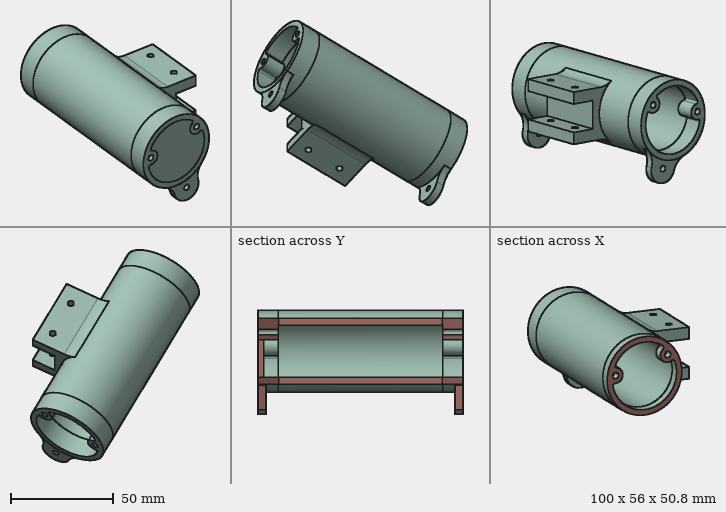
import cadquery as cq
import math


total_length = 100.0
ring_length = 10.0
outer_radius = 20.0
inner_radius = 17.0
half_length = total_length / 2
tube_length = total_length - 2 * ring_length

screw_radius = 1.5
boss_radius = 4.0
boss_distance = 15.5
boss_blend = 1.0
ear_angle = -75.0
boss_spread = 68.0
boss_angles = (ear_angle + 180 - boss_spread, ear_angle + 180 + boss_spread)

closing_plate_thickness = 3.0

ear_thickness = 4.0
ear_radius = 7.3
ear_distance = 24.3

outer_blend = 10.0

bracket_width = 35.3
bracket_end = 36.0
bracket_top = 13.3
flange_thickness = 6.0
flange_gap = 14.2
slot_depth = 12.0
bracket_bottom = bracket_top - 2 * flange_thickness - flange_gap
bracket_hole_spacing = 18.9
bracket_hole_offset = -0.5
bracket_hole_inset = 7.0


def polar(distance, angle):
    """Point at a distance and angle in degrees from the tube axis."""
    return (distance * math.cos(math.radians(angle)), distance * math.sin(math.radians(angle)))


def toward(start, end, distance):
    """Point at a distance from start along the line to end."""
    scale = distance / math.dist(start, end)
    return tuple(a + (b - a) * scale for a, b in zip(start, end))


def cylinder(x_start, length, radius, center=(0, 0)):
    """Solid cylinder along X."""
    return cq.Workplane("YZ", origin=(x_start, 0, 0)).center(*center).circle(radius).extrude(length)


def ring_opening(x_start, length):
    """The round opening of an end ring, less the two bosses."""
    opening = cylinder(x_start, length, inner_radius)
    for angle in boss_angles:
        opening = opening.cut(cylinder(x_start, length, boss_radius, polar(boss_distance, angle)))
    return opening.edges("|X").fillet(boss_blend)


def make_tube():
    outside = cylinder(-tube_length / 2, tube_length, outer_radius)
    return outside.cut(cylinder(-tube_length / 2, tube_length, inner_radius))


def make_end_ring(x_start):
    ring = cylinder(x_start, ring_length, outer_radius).cut(ring_opening(x_start, ring_length))
    for angle in boss_angles:
        ring = ring.cut(cylinder(x_start, ring_length, screw_radius, polar(boss_distance, angle)))
    return ring


def make_ear(x_start):
    """Rounded ear whose concave sides are tangent to the ring and to its tip."""
    ear_center = polar(ear_distance, ear_angle)
    blend_reach = outer_radius + outer_blend
    tip_reach = ear_radius + outer_blend
    cosine = (blend_reach**2 + ear_distance**2 - tip_reach**2) / (2 * blend_reach * ear_distance)
    blend_angle = math.degrees(math.acos(cosine))

    def side_points(angle):
        """Ring tangent point, middle of the blend arc and tip tangent point."""
        blend_center = polar(blend_reach, angle)
        ring_point = polar(outer_radius, angle)
        tip_point = toward(ear_center, blend_center, ear_radius)
        chord_middle = tuple((a + b) / 2 for a, b in zip(ring_point, tip_point))
        return ring_point, toward(blend_center, chord_middle, outer_blend), tip_point

    left_ring, left_middle, left_tip = side_points(ear_angle - blend_angle)
    right_ring, right_middle, right_tip = side_points(ear_angle + blend_angle)
    ear = (
        cq.Workplane("YZ", origin=(x_start, 0, 0))
        .moveTo(*left_ring)
        .threePointArc(left_middle, left_tip)
        .threePointArc(polar(ear_distance + ear_radius, ear_angle), right_tip)
        .threePointArc(right_middle, right_ring)
        .threePointArc(polar(outer_radius, ear_angle), left_ring)
        .close()
        .extrude(ear_thickness)
    )
    return ear.cut(cylinder(x_start, ear_thickness, screw_radius, ear_center))


def make_bracket():
    """Two flanges joined by a web that wraps the tube, with concave blends."""

    def blend_points(flange_z):
        """Flange tangent point, middle of the blend arc and tube tangent point."""
        side = math.copysign(1, flange_z)
        center_z = flange_z + side * outer_blend
        center_y = math.sqrt((outer_radius + outer_blend) ** 2 - center_z**2)
        center = (center_y, center_z)
        flange_point = (center_y, flange_z)
        tube_point = toward((0, 0), center, outer_radius)
        chord_middle = tuple((a + b) / 2 for a, b in zip(flange_point, tube_point))
        return flange_point, toward(center, chord_middle, outer_blend), tube_point

    top_flange, top_middle, top_tube = blend_points(bracket_top)
    bottom_flange, bottom_middle, bottom_tube = blend_points(bracket_bottom)
    slot_floor = bracket_end - slot_depth
    slot_top = bracket_top - flange_thickness
    slot_bottom = bracket_bottom + flange_thickness
    bracket = (
        cq.Workplane("YZ", origin=(-bracket_width / 2, 0, 0))
        .moveTo(*top_tube)
        .threePointArc(top_middle, top_flange)
        .lineTo(bracket_end, bracket_top)
        .lineTo(bracket_end, slot_top)
        .lineTo(slot_floor, slot_top)
        .lineTo(slot_floor, slot_bottom)
        .lineTo(bracket_end, slot_bottom)
        .lineTo(bracket_end, bracket_bottom)
        .lineTo(*bottom_flange)
        .threePointArc(bottom_middle, bottom_tube)
        .threePointArc((outer_radius, 0), top_tube)
        .close()
        .extrude(bracket_width)
    )
    holes = (
        cq.Workplane("XY", origin=(bracket_hole_offset, bracket_end - bracket_hole_inset, bracket_bottom))
        .rarray(bracket_hole_spacing, 1, 2, 1)
        .circle(screw_radius)
        .extrude(bracket_top - bracket_bottom)
    )
    return bracket.cut(holes)


tube = make_tube()
end_rings = [make_end_ring(x) for x in (-half_length, half_length - ring_length)]
ears = [make_ear(x) for x in (-half_length, half_length - ear_thickness)]
bracket = make_bracket()
closing_plate = ring_opening(half_length - closing_plate_thickness, closing_plate_thickness)

bodies = [tube, *end_rings, *ears, bracket, closing_plate]
result = cq.Compound.makeCompound([body.solids().val() for body in bodies])